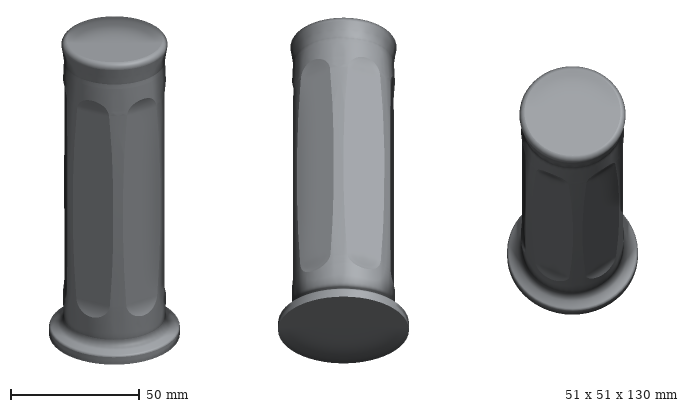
import cadquery as cq
import math

grip_height = 130.0
barrel_end_radius = 19.8
barrel_mid_radius = 20.9
barrel_bottom = 7.9
barrel_top = 118.7

flange_radius = 25.5
flange_rim_height = 3.2
flange_slope_radius = 24.8
flange_slope_height = 4.0
flange_neck_radius = 21.8
flange_neck_height = 5.2
neck_sag = 0.5

cap_base_height = 120.6
cap_base_radius = 19.6
cap_radius = 20.7
cap_edge_height = 127.5
cap_face_radius = 18.7

flat_count = 6
flat_distance = 19.0
flat_bottom = 23.0
flat_top = 106.9
runout_radius = 16.5
cutter_width = 26.0
cutter_depth = 3.9


def make_body():
    """Revolve the flange, bulging barrel and flared cap about Z."""
    barrel_middle = (barrel_bottom + barrel_top) / 2
    neck_offset = neck_sag / math.sqrt(2)
    neck_middle = (
        (flange_neck_radius + barrel_end_radius) / 2 - neck_offset,
        (flange_neck_height + barrel_bottom) / 2 - neck_offset,
    )
    cap_edge_middle = (
        cap_face_radius + (cap_radius - cap_face_radius) * math.sqrt(0.5),
        cap_edge_height + (grip_height - cap_edge_height) * math.sqrt(0.5),
    )
    profile = (
        cq.Workplane("XZ")
        .moveTo(0, grip_height)
        .lineTo(cap_face_radius, grip_height)
        .threePointArc(cap_edge_middle, (cap_radius, cap_edge_height))
        .lineTo(cap_base_radius, cap_base_height)
        .lineTo(barrel_end_radius, barrel_top)
        .threePointArc((barrel_mid_radius, barrel_middle), (barrel_end_radius, barrel_bottom))
        .threePointArc(neck_middle, (flange_neck_radius, flange_neck_height))
        .tangentArcPoint((flange_slope_radius, flange_slope_height), relative=False)
        .tangentArcPoint((flange_radius, flange_rim_height), relative=False)
        .lineTo(flange_radius, 0)
        .lineTo(0, 0)
        .close()
    )
    return profile.revolve(360, (0, 0, 0), (0, 1, 0))


def make_flat_cutter():
    """Prism that cuts the flat facing +X, with a tangent arc at each end."""
    outer_x = flat_distance + cutter_depth
    half_angle = math.acos(1 - cutter_depth / runout_radius) / 2
    runout_length = runout_radius * math.sin(2 * half_angle)
    arc_x = flat_distance + runout_radius * (1 - math.cos(half_angle))
    arc_length = runout_radius * math.sin(half_angle)
    return (
        cq.Workplane("XZ")
        .moveTo(flat_distance, flat_bottom)
        .lineTo(flat_distance, flat_top)
        .threePointArc((arc_x, flat_top + arc_length), (outer_x, flat_top + runout_length))
        .lineTo(outer_x, flat_bottom - runout_length)
        .threePointArc((arc_x, flat_bottom - arc_length), (flat_distance, flat_bottom))
        .close()
        .extrude(cutter_width / 2, both=True)
    )


result = make_body()
flat_cutter = make_flat_cutter()
for index in range(flat_count):
    angle = index * 360 / flat_count
    result = result.cut(flat_cutter.rotate((0, 0, 0), (0, 0, 1), angle))